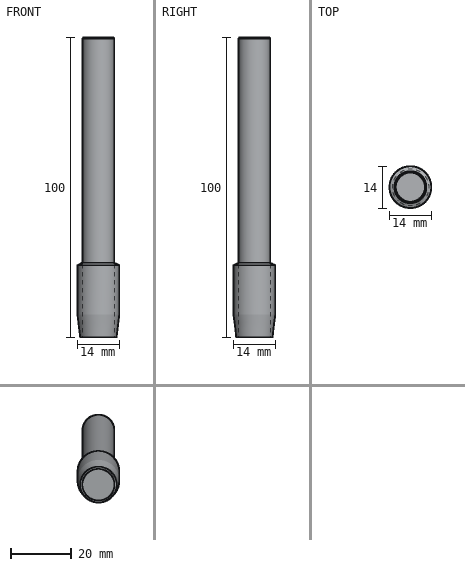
import cadquery as cq

total_length = 100.0
pin_diameter = 10.7
pin_chamfer = 0.5

sleeve_diameter = 14.0
sleeve_length = 24.8
sleeve_cone_height = 0.8
taper_length = 7.5
taper_end_diameter = 12.2


def make_pin():
    """Straight round pin running the full length, chamfered at its top rim."""
    pin = cq.Workplane("XY").circle(pin_diameter / 2).extrude(total_length)
    return pin.faces(">Z").chamfer(pin_chamfer)


def make_sleeve():
    """Sleeve with a through bore for the pin, a tapered lower end and a shallow conical top."""
    bore_radius = pin_diameter / 2
    outer_radius = sleeve_diameter / 2
    profile = [
        (bore_radius, 0),
        (taper_end_diameter / 2, 0),
        (outer_radius, taper_length),
        (outer_radius, sleeve_length - sleeve_cone_height),
        (bore_radius, sleeve_length),
    ]
    return cq.Workplane("XZ").polyline(profile).close().revolve(360, (0, 0), (0, 1))


pin = make_pin()
sleeve = make_sleeve()

result = cq.Compound.makeCompound([pin.val(), sleeve.val()])